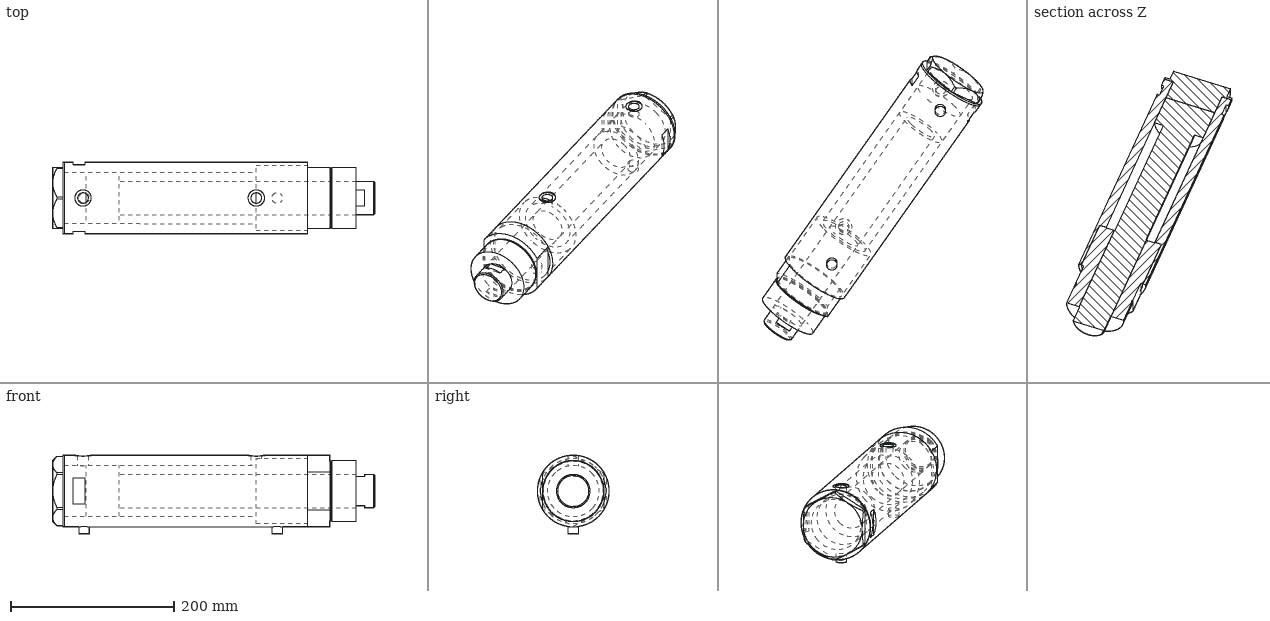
import cadquery as cq
import math


flange_start = 12.4
tube_start = 14.8
plug_end = 41.0
head_spigot_start = 248.6
head_start = 312.0
head_shoulder = 339.4
undercut_end = 340.4
collar_start = 341.4
head_end = 371.4
rod_flat_end = 381.8
rod_end = 394.3

body_diameter = 88.0
bore_diameter = 63.0
spigot_diameter = 80.0
rod_diameter = 41.0
across_flats = 75.0

hex_corner_diameter = 85.0
hex_face_diameter = 74.8

collar_diameter = 75.0
collar_lead_diameter = 73.6
undercut_diameter = 73.0

piston_length = 40.0
rod_across_flats = 36.0
rod_chamfer = 1.5

port_positions = (37.2, 249.2)
port_diameter = 13.0
spotface_diameter = 20.0
spotface_depth = 1.3

peg_positions = (38.5, 274.8)
peg_diameter = port_diameter
peg_bottom = -52.5

recess_start = 25.0
recess_length = 14.5
recess_height = 32.0

body_radius = body_diameter / 2


def rod_shape(start, end, diameter):
    """Round bar along X between two stations."""
    section = cq.Plane(origin=(start, 0, 0), xDir=(0, 0, 1), normal=(1, 0, 0))
    return cq.Workplane(section).circle(diameter / 2).extrude(end - start)


def upright_cylinder(x, bottom, top, diameter):
    """Cylinder along Z standing at a station on the X axis."""
    return cq.Workplane("XY", origin=(x, 0, bottom)).circle(diameter / 2).extrude(top - bottom)


def block(start, end, size_y, size_z):
    """Box centred on the X axis between two stations."""
    return cq.Workplane("YZ", origin=(start, 0, 0)).rect(size_y, size_z).extrude(end - start)


def make_tube():
    tube = rod_shape(tube_start, head_start, body_diameter)

    recess_floor = math.sqrt(body_radius**2 - (recess_height / 2) ** 2)
    recess_end = recess_start + recess_length
    recesses = block(recess_start, recess_end, body_diameter, body_diameter).cut(
        block(recess_start, recess_end, 2 * recess_floor, body_diameter)
    )
    tube = tube.cut(recesses)

    for x in peg_positions:
        tube = tube.union(upright_cylinder(x, peg_bottom, 0, peg_diameter))
    for x in port_positions:
        tube = tube.cut(upright_cylinder(x, 0, body_radius, port_diameter))
        tube = tube.cut(
            upright_cylinder(x, body_radius - spotface_depth, body_radius, spotface_diameter)
        )
    tube = tube.cut(rod_shape(tube_start, head_start, bore_diameter))
    return tube.cut(rod_shape(head_spigot_start, head_start, spigot_diameter))


def make_plug():
    corner_to_corner = across_flats / math.cos(math.pi / 6)
    hexagon = (
        cq.Workplane("YZ")
        .transformed(rotate=(0, 0, 90))
        .polygon(6, corner_to_corner)
        .extrude(flange_start)
    )
    corner_chamfer = (hex_corner_diameter - hex_face_diameter) / 2
    turned = rod_shape(0, flange_start, hex_corner_diameter).faces("<X").chamfer(corner_chamfer)
    plug = hexagon.intersect(turned)

    plug = plug.union(rod_shape(flange_start, tube_start, body_diameter))
    return plug.union(rod_shape(tube_start, plug_end, bore_diameter))


def make_head():
    spigot = rod_shape(head_spigot_start, head_start, spigot_diameter)
    flange = rod_shape(head_start, head_shoulder, body_diameter).intersect(
        block(head_start, head_shoulder, across_flats, body_diameter)
    )
    undercut = rod_shape(head_shoulder, undercut_end, undercut_diameter)
    lead = rod_shape(undercut_end, collar_start, collar_lead_diameter)
    collar_chamfer = (collar_diameter - collar_lead_diameter) / 2
    collar = rod_shape(collar_start, head_end, collar_diameter).faces("<X").chamfer(collar_chamfer)

    head = spigot.union(flange).union(undercut).union(lead).union(collar)
    return head.cut(rod_shape(head_spigot_start, head_end, rod_diameter))


def make_piston_rod():
    rod = rod_shape(plug_end, rod_end, rod_diameter).faces(">X").chamfer(rod_chamfer)
    flats = block(head_end, rod_flat_end, rod_diameter, rod_diameter).cut(
        block(head_end, rod_flat_end, rod_diameter, rod_across_flats)
    )
    piston = rod_shape(plug_end, plug_end + piston_length, bore_diameter)
    return rod.cut(flats).union(piston)


tube = make_tube()
plug = make_plug()
head = make_head()
piston_rod = make_piston_rod()

result = cq.Compound.makeCompound([tube.val(), plug.val(), head.val(), piston_rod.val()])